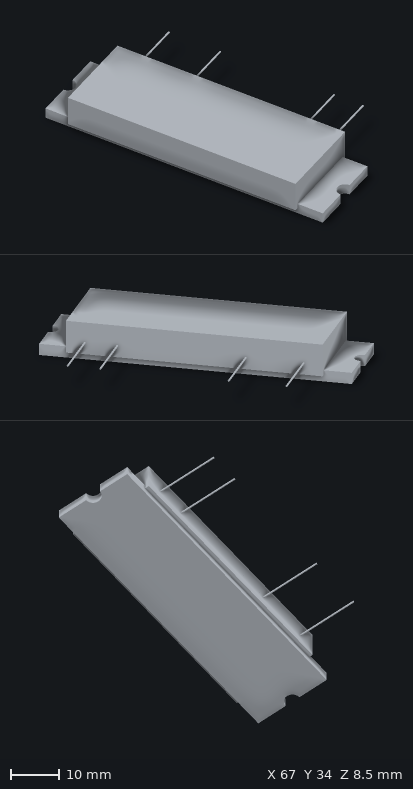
import cadquery as cq

flange_length = 67.0
flange_width = 18.0
flange_thickness = 2.5

housing_length = 55.0
housing_width = 19.95
housing_bottom = 1.5
housing_top = 8.5

notch_diameter = 3.6

pin_diameter = 0.4
pin_length = 14.0
pin_height = 4.0
pin_embed = 0.7
pin_positions = (-23.45, -11.05, 16.5, 23.45)


def make_flange():
    notches = (
        cq.Workplane("XY")
        .pushPoints([(side * flange_length / 2, 0) for side in (-1, 1)])
        .circle(notch_diameter / 2)
        .extrude(flange_thickness)
    )
    plate = cq.Workplane("XY").box(
        flange_length, flange_width, flange_thickness, centered=(True, True, False)
    )
    return plate.cut(notches)


def make_housing():
    return (
        cq.Workplane("XY", origin=(0, 0, housing_bottom))
        .rect(housing_length, housing_width)
        .extrude(housing_top - housing_bottom)
    )


def make_pin(x):
    root_y = housing_width / 2 - pin_embed
    return (
        cq.Workplane("XZ", origin=(x, root_y, pin_height))
        .circle(pin_diameter / 2)
        .extrude(-(pin_length + pin_embed))
    )


result = make_flange().union(make_housing())
for pin_x in pin_positions:
    result = result.union(make_pin(pin_x))